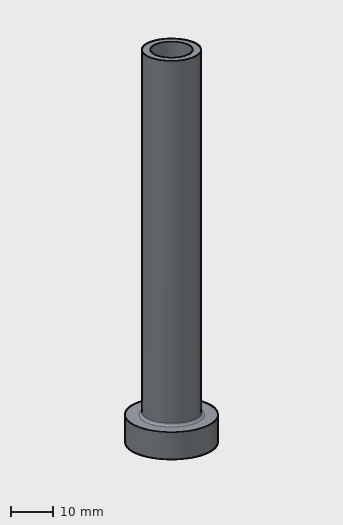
import cadquery as cq

total_length = 100.0
head_diameter = 22.0
head_height = 7.0
shaft_diameter = 14.0
bore_diameter = 10.0
root_fillet_radius = 0.7


def make_body():
    """Head and shaft turned from one half profile, with a concave fillet at the shaft root."""
    head_radius = head_diameter / 2
    shaft_radius = shaft_diameter / 2
    fillet_outer_radius = shaft_radius + root_fillet_radius
    fillet_top = head_height + root_fillet_radius
    half_profile = (
        cq.Workplane("XZ")
        .lineTo(head_radius, 0)
        .lineTo(head_radius, head_height)
        .lineTo(fillet_outer_radius, head_height)
        .radiusArc((shaft_radius, fillet_top), root_fillet_radius)
        .lineTo(shaft_radius, total_length)
        .lineTo(0, total_length)
        .close()
    )
    return half_profile.revolve(360, (0, 0, 0), (0, 1, 0))


def make_bore():
    """Cylinder running the full length of the part."""
    return cq.Workplane("XY").circle(bore_diameter / 2).extrude(total_length)


result = make_body().cut(make_bore())